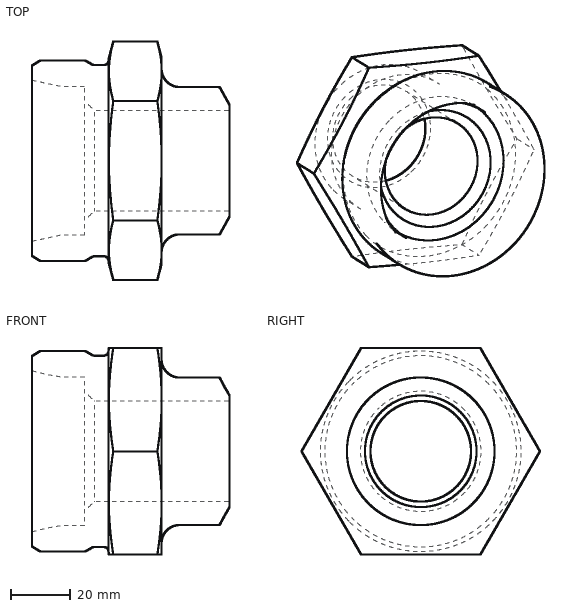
import cadquery as cq
import math

total_length = 67.0

hex_across_corners = 80.8
hex_start = 25.95
hex_end = 44.0
hex_chamfer_angle = 15.0
hex_face_radius = 34.35

thread_radius = 68.0 / 2
thread_end = 18.1
lead_length = 2.8
lead_tip_radius = 32.25

groove_radius = 64.9 / 2
groove_fillet = 1.5
groove_slope_angle = 30.0

neck_radius = 50.0 / 2
neck_start = 50.0
bevel_length = 3.4
bevel_tip_radius = 18.9

bore_radius = 34.0 / 2
socket_radius = 50.3 / 2
socket_depth = 17.8
cone_depth = 10.1
cone_angle = 12.0
mouth_radius = socket_radius + cone_depth * math.tan(math.radians(cone_angle))
seat_chamfer = 3.4

edge_round = 0.6

hex_corner_radius = hex_across_corners / 2
hex_flat_radius = hex_corner_radius * math.cos(math.radians(30))
chamfer_slope = math.tan(math.radians(hex_chamfer_angle))


def make_hexagon():
    """Hexagonal prism whose corners are turned off by a cone on each side."""
    prism = (
        cq.Workplane("YZ")
        .workplane(offset=hex_start)
        .polygon(6, hex_across_corners)
        .extrude(hex_end - hex_start)
    )
    start_chamfer = (hex_corner_radius - hex_face_radius) * chamfer_slope
    end_chamfer = (hex_corner_radius - hex_flat_radius) * chamfer_slope
    envelope = (
        cq.Workplane("XY")
        .moveTo(hex_start, 0)
        .lineTo(hex_start, hex_face_radius)
        .lineTo(hex_start + start_chamfer, hex_corner_radius)
        .lineTo(hex_end - end_chamfer, hex_corner_radius)
        .lineTo(hex_end, hex_flat_radius)
        .lineTo(hex_end, 0)
        .close()
        .revolve(360, (0, 0, 0), (1, 0, 0))
    )
    return prism.intersect(envelope)


def make_turned_body():
    """Solid of revolution for the thread, relief groove and weld neck."""
    slope = math.radians(groove_slope_angle)
    groove_corner = thread_end + (thread_radius - groove_radius) / math.tan(slope)
    tangent_length = groove_fillet * math.tan(slope / 2)
    groove_flat_start = groove_corner + tangent_length
    slope_end = (
        groove_corner - tangent_length * math.cos(slope),
        groove_radius + tangent_length * math.sin(slope),
    )
    slope_arc_middle = (
        groove_flat_start - groove_fillet * math.sin(slope / 2),
        groove_radius + groove_fillet * (1 - math.cos(slope / 2)),
    )
    neck_fillet = neck_start - hex_end
    return (
        cq.Workplane("XY")
        .lineTo(0, lead_tip_radius)
        .lineTo(lead_length, thread_radius)
        .lineTo(thread_end, thread_radius)
        .lineTo(*slope_end)
        .threePointArc(slope_arc_middle, (groove_flat_start, groove_radius))
        .lineTo(hex_start - groove_fillet, groove_radius)
        .radiusArc((hex_start, groove_radius + groove_fillet), -groove_fillet)
        .lineTo(hex_end, neck_radius + neck_fillet)
        .radiusArc((neck_start, neck_radius), -neck_fillet)
        .lineTo(total_length - bevel_length, neck_radius)
        .lineTo(total_length, bevel_tip_radius)
        .lineTo(total_length, 0)
        .close()
        .revolve(360, (0, 0, 0), (1, 0, 0))
    )


def make_bore():
    """Conical seat, cylindrical socket, chamfered shoulder and through hole."""
    return (
        cq.Workplane("XY")
        .lineTo(0, mouth_radius)
        .lineTo(cone_depth, socket_radius)
        .lineTo(socket_depth, socket_radius)
        .lineTo(socket_depth, bore_radius + seat_chamfer)
        .lineTo(socket_depth + seat_chamfer, bore_radius)
        .lineTo(total_length, bore_radius)
        .lineTo(total_length, 0)
        .close()
        .revolve(360, (0, 0, 0), (1, 0, 0))
    )


def circle_edge(part, x, radius):
    """Circular edge about the X axis at the given position and radius."""
    tolerance = 0.01
    circles = part.edges("%CIRCLE").filter(
        lambda edge: abs(edge.Center().x - x) < tolerance and abs(edge.radius() - radius) < tolerance
    )
    return circles.vals()


def round_edges(part):
    """Rounds the mouth, both ends of the thread and the start of the weld bevel."""
    places = [
        (0, mouth_radius),
        (0, lead_tip_radius),
        (lead_length, thread_radius),
        (thread_end, thread_radius),
        (total_length - bevel_length, neck_radius),
    ]
    edges = [edge for x, radius in places for edge in circle_edge(part, x, radius)]
    return part.newObject(edges).fillet(edge_round)


body = make_turned_body().union(make_hexagon()).cut(make_bore())
result = round_edges(body)